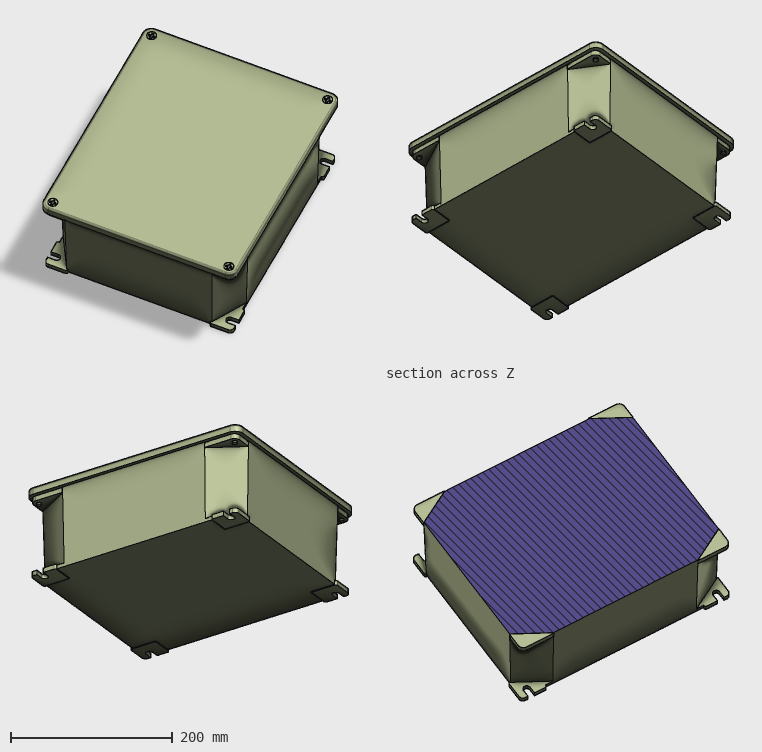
import cadquery as cq

LID_LENGTH_X = 264.0
LID_LENGTH_Y = 314.0
LID_HEIGHT = 10.5
LID_CORNER_RADIUS = 11.5
LID_EDGE_FILLET = 2.5
TOTAL_HEIGHT = 122.5
LID_BOTTOM_Z = TOTAL_HEIGHT - LID_HEIGHT

SCREW_INSET = 12.2
SCREW_X = LID_LENGTH_X / 2 - SCREW_INSET
SCREW_Y = LID_LENGTH_Y / 2 - SCREW_INSET
SCREW_POCKET_DIAMETER = 12.2
SCREW_POCKET_DEPTH = 0.5
CROSS_LENGTH = 8.2
CROSS_WIDTH = 2.2
CROSS_DEPTH = 1.5

HOUSING_LENGTH_X = 254.5
HOUSING_LENGTH_Y = 304.3
HOUSING_BOTTOM_Z = 1.3
HOUSING_HEIGHT = LID_BOTTOM_Z - HOUSING_BOTTOM_Z
WALL_DRAFT = 1.4
CORNER_CUT_X = 27.0
CORNER_CUT_Y = 47.0
CUT_START_X = HOUSING_LENGTH_X / 2 - CORNER_CUT_X
CUT_START_Y = HOUSING_LENGTH_Y / 2 - CORNER_CUT_Y

FLANGE_GAP = 1.0
FLANGE_TOP_Z = LID_BOTTOM_Z - FLANGE_GAP
FLANGE_THICKNESS = 7.0
FLANGE_BOTTOM_Z = FLANGE_TOP_Z - FLANGE_THICKNESS
FLANGE_INSET_X = 4.0
FLANGE_INSET_Y = 4.7
FLANGE_OUTER_X = LID_LENGTH_X / 2 - FLANGE_INSET_X
FLANGE_OUTER_Y = LID_LENGTH_Y / 2 - FLANGE_INSET_Y
FLANGE_REACH_X = FLANGE_OUTER_X - CUT_START_X
FLANGE_REACH_Y = FLANGE_OUTER_Y - CUT_START_Y
FLANGE_CORNER_RADIUS = 8.0
BOSS_DIAMETER = 6.5
BOSS_HEIGHT = 2.2

FOOT_THICKNESS = 6.3
FOOT_OUTER_X = FLANGE_OUTER_X
FOOT_OUTER_Y = FLANGE_OUTER_Y
FOOT_LENGTH_X = 31.0
FOOT_LENGTH_Y = 37.5
FOOT_CORNER_RADIUS = 5.5
FOOT_END_RADIUS = 2.5
SLOT_WIDTH = 9.5
SLOT_CENTER_INSET_X = 10.5
SLOT_CENTER_INSET_Y = 14.5


def four_corners(shape):
    """Return one shape built at the -X, -Y corner, mirrored to all four corners."""
    pair = shape.union(shape.mirror("YZ"))
    return pair.union(pair.mirror("XZ"))


def upright_edge_near(x, y, middle_z):
    """Select the vertical edge whose midpoint is nearest to the given place."""
    return cq.selectors.NearestToPointSelector((x, y, middle_z))


def make_screw_recess():
    """Shallow round pocket with a deeper cross, for the -X, -Y lid corner."""
    screw_plane = cq.Workplane("XY", origin=(-SCREW_X, -SCREW_Y, TOTAL_HEIGHT))
    pocket = screw_plane.circle(SCREW_POCKET_DIAMETER / 2).extrude(-SCREW_POCKET_DEPTH)
    bar_along_x = screw_plane.rect(CROSS_LENGTH, CROSS_WIDTH).extrude(-CROSS_DEPTH)
    bar_along_y = screw_plane.rect(CROSS_WIDTH, CROSS_LENGTH).extrude(-CROSS_DEPTH)
    return pocket.union(bar_along_x).union(bar_along_y)


def make_lid():
    plate = (
        cq.Workplane("XY", origin=(0, 0, LID_BOTTOM_Z))
        .rect(LID_LENGTH_X, LID_LENGTH_Y)
        .extrude(LID_HEIGHT)
        .edges("|Z")
        .fillet(LID_CORNER_RADIUS)
        .faces(">Z")
        .edges()
        .fillet(LID_EDGE_FILLET)
    )
    return plate.cut(four_corners(make_screw_recess()))


def drafted_down(outline):
    """Extrude an outline from the lid down to the floor, leaning inward."""
    return outline.extrude(-HOUSING_HEIGHT, taper=WALL_DRAFT)


def make_walls():
    """Drafted block with four cut corners, standing on a full rectangular base."""
    half_x = HOUSING_LENGTH_X / 2
    half_y = HOUSING_LENGTH_Y / 2
    octagon = [
        (-CUT_START_X, -half_y),
        (CUT_START_X, -half_y),
        (half_x, -CUT_START_Y),
        (half_x, CUT_START_Y),
        (CUT_START_X, half_y),
        (-CUT_START_X, half_y),
        (-half_x, CUT_START_Y),
        (-half_x, -CUT_START_Y),
    ]
    lid_plane = cq.Workplane("XY", origin=(0, 0, LID_BOTTOM_Z))
    block = drafted_down(lid_plane.polyline(octagon).close())
    full_block = drafted_down(lid_plane.rect(HOUSING_LENGTH_X, HOUSING_LENGTH_Y))
    base_layer = (
        cq.Workplane("XY")
        .rect(HOUSING_LENGTH_X, HOUSING_LENGTH_Y)
        .extrude(FOOT_THICKNESS)
    )
    return block.union(full_block.intersect(base_layer))


def make_flange():
    """Flange at the -X, -Y corner with a rounded outer corner and a boss below it."""
    flange = (
        cq.Workplane("XY", origin=(-FLANGE_OUTER_X, -FLANGE_OUTER_Y, FLANGE_BOTTOM_Z))
        .rect(FLANGE_REACH_X, FLANGE_REACH_Y, centered=False)
        .extrude(FLANGE_THICKNESS)
        .edges(upright_edge_near(-FLANGE_OUTER_X, -FLANGE_OUTER_Y, FLANGE_BOTTOM_Z + FLANGE_THICKNESS / 2))
        .fillet(FLANGE_CORNER_RADIUS)
    )
    boss = (
        cq.Workplane("XY", origin=(-SCREW_X, -SCREW_Y, FLANGE_BOTTOM_Z))
        .circle(BOSS_DIAMETER / 2)
        .extrude(-BOSS_HEIGHT)
    )
    return flange.union(boss)


def make_foot():
    """Foot at the -X, -Y corner, running in under the walls, with its two end corners rounded."""
    foot = (
        cq.Workplane("XY", origin=(-FOOT_OUTER_X, -FOOT_OUTER_Y, 0))
        .rect(FOOT_LENGTH_X, FOOT_LENGTH_Y, centered=False)
        .extrude(FOOT_THICKNESS)
    )
    left = -FOOT_OUTER_X
    front = -FOOT_OUTER_Y
    return (
        foot.edges(upright_edge_near(left, front, FOOT_THICKNESS / 2))
        .fillet(FOOT_CORNER_RADIUS)
        .edges(upright_edge_near(left, front + FOOT_LENGTH_Y, FOOT_THICKNESS / 2))
        .fillet(FOOT_END_RADIUS)
        .edges(upright_edge_near(left + FOOT_LENGTH_X, front, FOOT_THICKNESS / 2))
        .fillet(FOOT_END_RADIUS)
    )


def make_slot():
    """Round-ended slot that opens through the -X side of the foot."""
    return (
        cq.Workplane("XY", origin=(-FOOT_OUTER_X, -FOOT_OUTER_Y + SLOT_CENTER_INSET_Y, 0))
        .moveTo(0, -SLOT_WIDTH / 2)
        .lineTo(SLOT_CENTER_INSET_X, -SLOT_WIDTH / 2)
        .threePointArc((SLOT_CENTER_INSET_X + SLOT_WIDTH / 2, 0), (SLOT_CENTER_INSET_X, SLOT_WIDTH / 2))
        .lineTo(0, SLOT_WIDTH / 2)
        .close()
        .extrude(FOOT_THICKNESS)
    )


def make_housing():
    corner_parts = make_flange().union(make_foot())
    housing = make_walls().union(four_corners(corner_parts))
    return housing.cut(four_corners(make_slot()))


lid = make_lid()
housing = make_housing()

result = cq.Compound.makeCompound([lid.val(), housing.val()])